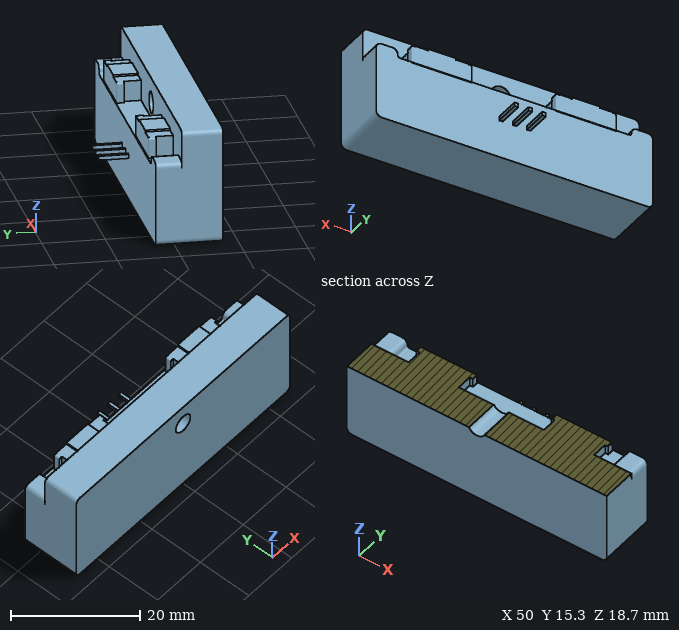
import cadquery as cq

length = 50.0
height = 18.7
front_depth = 6.5
body_depth = 10.6
corner_radius = 1.0

shoulder_height = 13.7
shoulder_length = 2.9
floor_corner_radius = 0.5
floor_height = shoulder_height - corner_radius - floor_corner_radius

hole_diameter = 3.4
hole_height = 14.7

connector_offset = 13.0
connector_back = body_depth - 0.15
connector_height = 15.5
stem_width = 9.7
head_width = 10.9
head_depth = 1.2
head_top_radius = 0.3
head_back_radius = 0.15
rib_width = 5.0
rib_height = 15.8

pin_count = 3
pin_pitch = 2.5
pin_size = 0.65
pin_height = 7.1
pin_length = 4.7


def block(width, y_front, y_back, z_bottom, z_top, x_center=0.0):
    """Box centred on x_center, given by its limits in Y and Z."""
    box = cq.Workplane("XY").box(width, y_back - y_front, z_top - z_bottom, centered=(True, False, False))
    return box.translate((x_center, y_front, z_bottom))


def front_block():
    """Tall block with rounded corners and the screw hole through it."""
    body = block(length, 0, front_depth, 0, height).edges("|Y").fillet(corner_radius)
    hole = (
        cq.Workplane("XZ", origin=(0, 0, hole_height))
        .circle(hole_diameter / 2)
        .extrude(-front_depth)
    )
    return body.cut(hole)


def rear_block():
    """Lower block whose top drops from two rounded shoulders to a floor."""
    side_x = length / 2
    edge_x = side_x - corner_radius
    shoulder_x = side_x - shoulder_length
    drop_x = shoulder_x - corner_radius
    half_outline = (
        cq.Workplane("XZ", origin=(0, front_depth, 0))
        .lineTo(edge_x, 0)
        .tangentArcPoint((side_x, corner_radius), relative=False)
        .lineTo(side_x, shoulder_height - corner_radius)
        .tangentArcPoint((edge_x, shoulder_height), relative=False)
        .lineTo(shoulder_x, shoulder_height)
        .tangentArcPoint((drop_x, shoulder_height - corner_radius), relative=False)
        .tangentArcPoint((drop_x - floor_corner_radius, floor_height), relative=False)
        .lineTo(0, floor_height)
    )
    return half_outline.mirrorY().extrude(front_depth - body_depth)


def connector(x_center):
    """T-shaped connector: stem, wider head with rounded top and back corners and a raised middle rib."""
    stem = block(stem_width, front_depth, connector_back, floor_height, connector_height, x_center)
    head = (
        block(head_width, connector_back - head_depth, connector_back, floor_height, connector_height, x_center)
        .edges("|Y and >Z")
        .fillet(head_top_radius)
        .edges("|Z and >Y")
        .fillet(head_back_radius)
    )
    rib = block(rib_width, front_depth, connector_back, floor_height, rib_height, x_center)
    return stem.union(head).union(rib)


def pin(x_center):
    """Square pin standing out of the rear face."""
    return block(
        pin_size,
        body_depth,
        body_depth + pin_length,
        pin_height - pin_size / 2,
        pin_height + pin_size / 2,
        x_center,
    )


result = front_block().union(rear_block())
for side in (-1, 1):
    result = result.union(connector(side * connector_offset))
for index in range(pin_count):
    result = result.union(pin((index - (pin_count - 1) / 2) * pin_pitch))